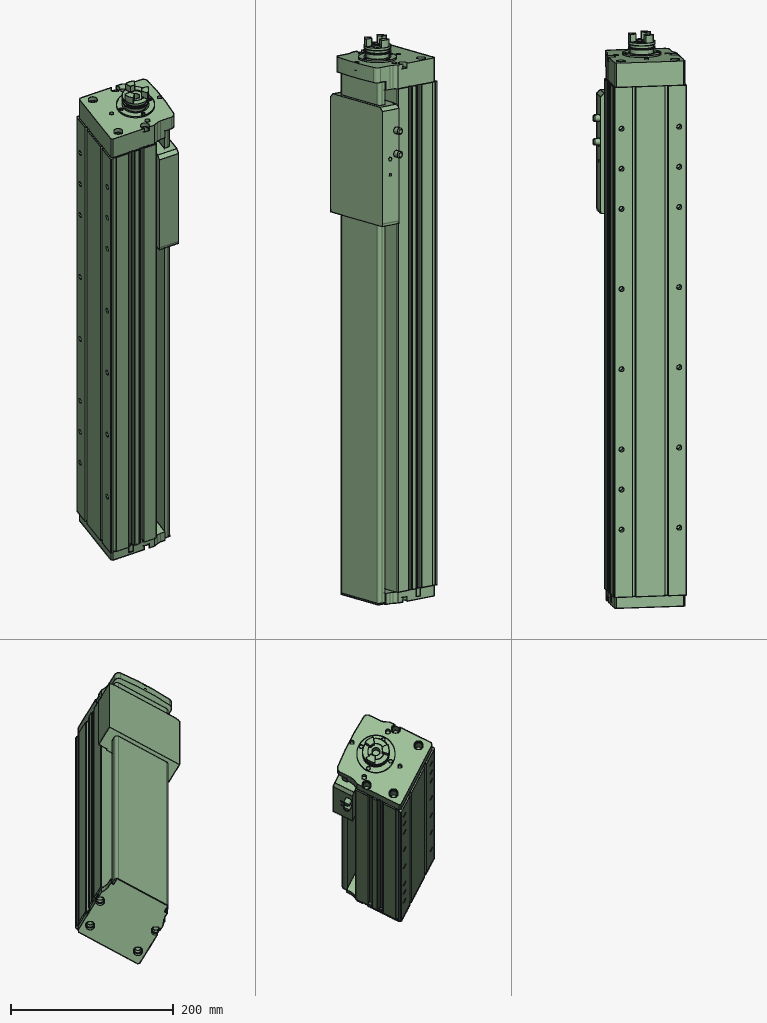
import cadquery as cq
import math

TOTAL_LENGTH = 705.9
END_CAP_HEIGHT = 14.0
HEAD_BOTTOM = 650.0
HEAD_TOP = 680.0
HEAD_HOOD_BOTTOM = 661.0
COVER_BOTTOM = 2.0

HOUSING_WIDTH = 91.0
HOUSING_DEPTH = 63.5
HOUSING_CORNER = 1.0
FRONT_SLOT_X = 20.2
SLOT_WIDTH = 4.2
SLOT_DEPTH = 5.0
SIDE_SLOT_Y = (29.1, 43.9)
SIDE_MOUTH_Y = (29.1, 42.9)
SIDE_MOUTH_WIDTH = (8.5, 6.2)
SIDE_MOUTH_DEPTH = 0.8
FOOT_GROOVE_Y = 5.6
FOOT_GROOVE_WIDTH = 4.4
FOOT_GROOVE_DEPTH = 0.8

MOUNT_HOLE_X = 36.0
MOUNT_HOLE_DIAMETER = 6.0
MOUNT_HOLE_DEPTH = 10.0
MOUNT_FIRST_Z = 98.5
MOUNT_PITCH = 100.0
MOUNT_COUNT = 6
LOCATING_LOWER_Z = 148.5
LOCATING_UPPER_Z = 548.5

CAP_WIDTH = 87.5
CAP_FRONT_Y = 2.0
CAP_SHOULDER_Y = 61.5
CAP_STEP_WIDTH = 82.0
CAP_STEP_Y = 67.3
CAP_NECK_WIDTH = 80.0
CAP_NECK_Y = 71.6
CAP_SHELF_WIDTH = 72.0
CAP_CORNER = 2.0
HEAD_EDGE_Y = 92.2
HEAD_CROWN_Y = 94.28
HEAD_CORNER = 6.0

COVER_WIDTH = 76.0
COVER_INNER_Y = 78.0
COVER_OUTER_Y = 86.7
COVER_CORNER = 4.0

DRIVE_AXIS_Y = 58.0
SCREW_BORE_DIAMETER = 11.0
SCREW_HOLE_DIAMETER = 8.5
SCREW_BORE_DEPTH = 6.0
LOWER_SCREW = (33.8, 16.5)
UPPER_SCREW = (39.4, 50.7)
PIN_HOLE_PLACE = (32.0, 57.8)
PIN_HOLE_DIAMETER = 6.0
PIN_HOLE_DEPTH = 10.0
MOTOR_HOLE_RADIUS = 33.0
MOTOR_HOLE_DIAMETER = 5.0
END_SLOT_BOTTOM = 3.5
END_SLOT_DEPTH = 1.0

CARRIAGE_WIDTH = 100.0
CARRIAGE_LENGTH = 150.0
CARRIAGE_BOTTOM = 481.5
CARRIAGE_TOP = CARRIAGE_BOTTOM + CARRIAGE_LENGTH
CARRIAGE_OUTER_Y = 91.6
CARRIAGE_WING_Y = 65.0
CARRIAGE_FOOT_WIDTH = 76.0
CARRIAGE_CHAMFER = 4.5
CARRIAGE_LOWER_BEVEL_HEIGHT = 3.5
CARRIAGE_LOWER_BEVEL_WIDTH = 0.4
SIDE_HOLE_Y = 79.0
SIDE_HOLES = ((565.0, 4.5), (545.0, 3.24))
SIDE_HOLE_DEPTH = 6.0
NIPPLE_Y = 69.6
NIPPLE_Z = (600.0, 570.5)
NIPPLE_DIAMETER = 8.38
NIPPLE_LENGTH = 8.4
NIPPLE_TIP_CHAMFER = 1.5

RING_DIAMETER = 47.0
RING_HEIGHT = 2.0
RING_HOLE_RADIUS = 20.2
RING_HOLE_DIAMETER = 4.5
RING_HOLE_COUNT = 4
HUB_DIAMETER = 33.0
HUB_NECK_DIAMETER = 29.0
HUB_LOWER_DISC = (688.0, 689.5)
HUB_UPPER_DISC = (693.0, 696.3)
HUB_BORE_DIAMETER = 10.0
HUB_RECESS_DIAMETER = 20.0
HUB_RECESS_DEPTH = 1.5
JAW_OUTER_DIAMETER = 32.4
JAW_INNER_DIAMETER = 16.0
JAW_COUNT = 3
JAW_HALF_ANGLE = 22.0


def box(x0, x1, y0, y1, z0, z1):
    """Block between two opposite corners."""
    return cq.Workplane("XY").box(x1 - x0, y1 - y0, z1 - z0, centered=False).translate((x0, y0, z0))


def centred_box(width, y0, y1, z0, z1):
    """Block that is symmetric about the YZ plane."""
    return box(-width / 2, width / 2, y0, y1, z0, z1)


def upright(diameter, x, y, z0, z1):
    """Cylinder along Z."""
    return cq.Workplane("XY", origin=(x, y, z0)).circle(diameter / 2).extrude(z1 - z0)


def both_sides(solid):
    """The solid together with its mirror image across the YZ plane."""
    return solid.union(solid.mirror("YZ"))


def make_housing():
    """Slotted profile with mounting holes in its front face."""
    body = centred_box(HOUSING_WIDTH, 0, HOUSING_DEPTH, END_CAP_HEIGHT, HEAD_BOTTOM)
    body = body.edges("|Z").chamfer(HOUSING_CORNER)

    def side_groove(y, width, depth):
        side = HOUSING_WIDTH / 2
        return box(side - depth, side, y - width / 2, y + width / 2, END_CAP_HEIGHT, HEAD_BOTTOM)

    half_slot = SLOT_WIDTH / 2
    front_slot = box(
        FRONT_SLOT_X - half_slot, FRONT_SLOT_X + half_slot, 0, SLOT_DEPTH, END_CAP_HEIGHT, HEAD_BOTTOM
    )
    body = body.cut(both_sides(front_slot))
    for slot_y in SIDE_SLOT_Y:
        body = body.cut(both_sides(side_groove(slot_y, SLOT_WIDTH, SLOT_DEPTH)))
    for mouth_y, mouth_width in zip(SIDE_MOUTH_Y, SIDE_MOUTH_WIDTH):
        body = body.cut(both_sides(side_groove(mouth_y, mouth_width, SIDE_MOUTH_DEPTH)))
    body = body.cut(both_sides(side_groove(FOOT_GROOVE_Y, FOOT_GROOVE_WIDTH, FOOT_GROOVE_DEPTH)))
    return body.cut(mounting_holes())


def mounting_holes():
    """Two columns of screw holes with the locating holes between them."""
    screw_z = [MOUNT_FIRST_Z + i * MOUNT_PITCH for i in range(MOUNT_COUNT)]
    places = [(side * MOUNT_HOLE_X, z) for side in (-1, 1) for z in screw_z]
    places += [(side * MOUNT_HOLE_X, LOCATING_UPPER_Z) for side in (-1, 1)]
    places.append((-MOUNT_HOLE_X, LOCATING_LOWER_Z))
    holes = cq.Workplane("XZ").pushPoints(places).circle(MOUNT_HOLE_DIAMETER / 2)
    return holes.extrude(-MOUNT_HOLE_DEPTH)


def cap_base(z0, z1):
    """Stepped block: wide in front, necked in behind the shoulder, up to the cover."""
    wide = CAP_WIDTH / 2
    step = CAP_STEP_WIDTH / 2
    neck = CAP_NECK_WIDTH / 2
    right_side = [
        (wide, CAP_FRONT_Y),
        (wide, CAP_SHOULDER_Y),
        (step, CAP_STEP_Y),
        (neck, CAP_NECK_Y),
        (neck, COVER_INNER_Y),
    ]
    left_side = [(-x, y) for x, y in reversed(right_side)]
    base = cq.Workplane("XY", origin=(0, 0, z0)).polyline(right_side + left_side).close()
    return base.extrude(z1 - z0).edges("|Z and <Y").chamfer(CAP_CORNER)


def make_head():
    """Drive head with a crowned hood that closes off the guard strip."""
    neck = CAP_NECK_WIDTH / 2
    hood = (
        cq.Workplane("XY", origin=(0, 0, HEAD_HOOD_BOTTOM))
        .moveTo(-neck, CAP_NECK_Y)
        .lineTo(neck, CAP_NECK_Y)
        .lineTo(neck, HEAD_EDGE_Y)
        .threePointArc((0, HEAD_CROWN_Y), (-neck, HEAD_EDGE_Y))
        .close()
        .extrude(HEAD_TOP - HEAD_HOOD_BOTTOM)
    )
    outer_corners = hood.edges("|Z").edges(">Y")
    hood = outer_corners.fillet(HEAD_CORNER)
    head = cap_base(HEAD_BOTTOM, HEAD_TOP).union(hood)
    bore_floor = HEAD_TOP - SCREW_BORE_DEPTH
    for x, y in (LOWER_SCREW, UPPER_SCREW):
        head = head.cut(both_sides(upright(SCREW_BORE_DIAMETER, x, y, bore_floor, HEAD_TOP)))
        head = head.cut(both_sides(upright(SCREW_HOLE_DIAMETER, x, y, HEAD_BOTTOM, HEAD_TOP)))
    pin_x, pin_y = PIN_HOLE_PLACE
    pin_floor = HEAD_TOP - PIN_HOLE_DEPTH
    head = head.cut(both_sides(upright(PIN_HOLE_DIAMETER, pin_x, pin_y, pin_floor, HEAD_TOP)))
    for side in (-1, 1):
        y = DRIVE_AXIS_Y + side * MOTOR_HOLE_RADIUS
        head = head.cut(upright(MOTOR_HOLE_DIAMETER, 0, y, pin_floor, HEAD_TOP))
    return head


def make_end_cap():
    """Lower cap with a thin shelf under the guard strip."""
    shelf = centred_box(CAP_SHELF_WIDTH, CAP_NECK_Y, COVER_OUTER_Y, 0, COVER_BOTTOM)
    cap = cap_base(0, END_CAP_HEIGHT).union(shelf)
    for x, y in (LOWER_SCREW, UPPER_SCREW):
        cap = cap.cut(both_sides(upright(SCREW_BORE_DIAMETER, x, y, 0, SCREW_BORE_DEPTH)))
        cap = cap.cut(both_sides(upright(SCREW_HOLE_DIAMETER, x, y, 0, END_CAP_HEIGHT)))
    wide = CAP_WIDTH / 2
    slot_y = SIDE_SLOT_Y[0]
    half_slot = SIDE_MOUTH_WIDTH[1] / 2
    slot = box(
        wide - END_SLOT_DEPTH, wide, slot_y - half_slot, slot_y + half_slot, END_SLOT_BOTTOM, END_CAP_HEIGHT
    )
    return cap.cut(both_sides(slot))


def make_cover():
    """Guard strip with rounded outer corners."""
    cover = centred_box(COVER_WIDTH, COVER_INNER_Y, COVER_OUTER_Y, COVER_BOTTOM, HEAD_HOOD_BOTTOM)
    return cover.edges("|Z and >Y").fillet(COVER_CORNER)


def make_carriage(cover):
    """Carriage around the guard strip, with two lubrication nipples on its -X side."""
    half = CARRIAGE_WIDTH / 2
    body = centred_box(CARRIAGE_WIDTH, CARRIAGE_WING_Y, CARRIAGE_OUTER_Y, CARRIAGE_BOTTOM, CARRIAGE_TOP)
    body = body.faces(">Z").edges("|Y").chamfer(CARRIAGE_CHAMFER)
    bevel = (
        cq.Workplane("XZ", origin=(half, CARRIAGE_OUTER_Y, CARRIAGE_BOTTOM))
        .polyline([(0, 0), (-CARRIAGE_LOWER_BEVEL_WIDTH, 0), (0, CARRIAGE_LOWER_BEVEL_HEIGHT)])
        .close()
        .extrude(CARRIAGE_OUTER_Y - CARRIAGE_WING_Y)
    )
    body = body.cut(both_sides(bevel))
    foot = centred_box(
        CARRIAGE_FOOT_WIDTH, HOUSING_DEPTH, CARRIAGE_WING_Y, CARRIAGE_BOTTOM, CARRIAGE_TOP
    )
    body = body.union(foot).cut(cover)
    side_plane = cq.Workplane("YZ", origin=(-half, 0, 0))
    for z, diameter in SIDE_HOLES:
        body = body.cut(side_plane.center(SIDE_HOLE_Y, z).circle(diameter / 2).extrude(SIDE_HOLE_DEPTH))
    for z in NIPPLE_Z:
        seat = side_plane.center(NIPPLE_Y, z)
        nipple = seat.circle(NIPPLE_DIAMETER / 2).extrude(-NIPPLE_LENGTH)
        nipple = nipple.faces("<X").chamfer(NIPPLE_TIP_CHAMFER)
        body = body.union(nipple)
    return body


def make_bearing_ring():
    """Flat ring around the coupling."""
    ring = upright(RING_DIAMETER, 0, DRIVE_AXIS_Y, HEAD_TOP, HEAD_TOP + RING_HEIGHT)
    ring = ring.cut(upright(HUB_DIAMETER, 0, DRIVE_AXIS_Y, HEAD_TOP, HEAD_TOP + RING_HEIGHT))
    holes = (
        cq.Workplane("XY", origin=(0, DRIVE_AXIS_Y, HEAD_TOP))
        .polarArray(RING_HOLE_RADIUS, 0, 360, RING_HOLE_COUNT)
        .circle(RING_HOLE_DIAMETER / 2)
        .extrude(RING_HEIGHT)
    )
    return ring.cut(holes)


def make_coupling():
    """Coupling hub with two discs and three jaws."""
    jaw_floor = HUB_UPPER_DISC[1]
    hub = upright(HUB_NECK_DIAMETER, 0, DRIVE_AXIS_Y, HEAD_TOP, jaw_floor)
    foot_top = HEAD_TOP + RING_HEIGHT
    for z0, z1 in ((HEAD_TOP, foot_top), HUB_LOWER_DISC, HUB_UPPER_DISC):
        hub = hub.union(upright(HUB_DIAMETER, 0, DRIVE_AXIS_Y, z0, z1))
    hub = hub.cut(upright(HUB_BORE_DIAMETER, 0, DRIVE_AXIS_Y, HEAD_TOP, jaw_floor))
    recess_floor = jaw_floor - HUB_RECESS_DEPTH
    hub = hub.cut(upright(HUB_RECESS_DIAMETER, 0, DRIVE_AXIS_Y, recess_floor, jaw_floor))
    crown = upright(JAW_OUTER_DIAMETER, 0, DRIVE_AXIS_Y, jaw_floor, TOTAL_LENGTH)
    crown = crown.cut(upright(JAW_INNER_DIAMETER, 0, DRIVE_AXIS_Y, jaw_floor, TOTAL_LENGTH))
    reach = HUB_DIAMETER
    spread = reach * math.tan(math.radians(JAW_HALF_ANGLE))
    wedge = (
        cq.Workplane("XY", origin=(0, DRIVE_AXIS_Y, jaw_floor))
        .polyline([(0, 0), (-reach, spread), (-reach, -spread)])
        .close()
        .extrude(TOTAL_LENGTH - jaw_floor)
    )
    for i in range(JAW_COUNT):
        turn = i * 360 / JAW_COUNT
        sector = wedge.rotate((0, DRIVE_AXIS_Y, 0), (0, DRIVE_AXIS_Y, 1), turn)
        hub = hub.union(crown.intersect(sector))
    return hub


housing = make_housing()
head = make_head()
end_cap = make_end_cap()
cover = make_cover()
carriage = make_carriage(cover)
bearing_ring = make_bearing_ring()
coupling = make_coupling()

bodies = [housing, head, end_cap, cover, carriage, bearing_ring, coupling]
result = cq.Compound.makeCompound([body.solids().val() for body in bodies])